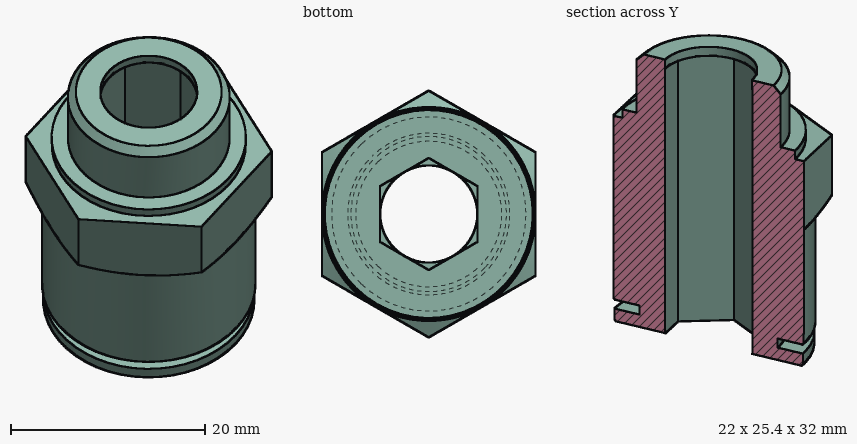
import cadquery as cq
import math

total_height = 32
release_ring_top = 1.5
body_bottom = 2.5
hex_bottom = 16
hex_top = 24
sealing_collar_top = 25.0

release_ring_diameter = 21.8
neck_diameter = 16
body_diameter = 22.0
sealing_collar_diameter = 20.0
spigot_diameter = 16.67
bore_diameter = 10.0
hex_across_flats = body_diameter
socket_across_flats = bore_diameter

spigot_chamfer = 0.83
small_chamfer = 0.2
hex_chamfer_angle = math.radians(30)
mouth_depth = 1.05


def cylinder(diameter, bottom, top):
    return cq.Workplane("XY").workplane(offset=bottom).circle(diameter / 2).extrude(top - bottom)


def hexagon(across_flats, bottom, top):
    """Hexagonal prism with corners on the Y axis and flats facing X."""
    corner_diameter = across_flats / math.cos(math.pi / 6)
    prism = cq.Workplane("XY").workplane(offset=bottom).polygon(6, corner_diameter).extrude(top - bottom)
    return prism.rotate((0, 0, 0), (0, 0, 1), 30)


def chamfered_hex():
    """Wrench hexagon whose lower corners are turned off by a cone."""
    inner_radius = hex_across_flats / 2
    outer_radius = hex_across_flats
    cone_height = (outer_radius - inner_radius) * math.tan(hex_chamfer_angle)
    envelope = (
        cq.Workplane("XZ")
        .moveTo(0, hex_bottom)
        .lineTo(inner_radius, hex_bottom)
        .lineTo(outer_radius, hex_bottom + cone_height)
        .lineTo(outer_radius, hex_top)
        .lineTo(0, hex_top)
        .close()
        .revolve(360, (0, 0, 0), (0, 1, 0))
    )
    return hexagon(hex_across_flats, hex_bottom, hex_top).intersect(envelope)


release_ring = cylinder(release_ring_diameter, 0, release_ring_top).faces("<Z").chamfer(small_chamfer)
neck = cylinder(neck_diameter, release_ring_top, body_bottom)
body = cylinder(body_diameter, body_bottom, hex_bottom).faces("<Z").chamfer(small_chamfer)
sealing_collar = cylinder(sealing_collar_diameter, hex_top, sealing_collar_top)
spigot = cylinder(spigot_diameter, sealing_collar_top, total_height).faces(">Z").chamfer(spigot_chamfer)
outside = release_ring.union(neck).union(body).union(chamfered_hex()).union(sealing_collar).union(spigot)

socket_top = total_height - mouth_depth
mouth = cylinder(bore_diameter, socket_top, total_height)
socket = hexagon(socket_across_flats, 0, socket_top)

result = outside.cut(mouth).cut(socket)